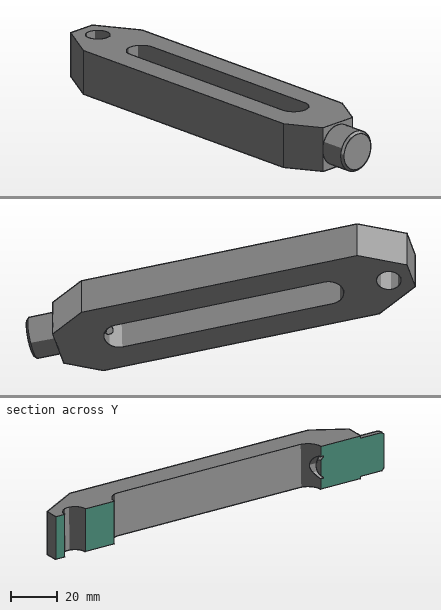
import cadquery as cq
import math

overall_length = 168.0
peg_length = 12.0
body_length = overall_length - peg_length
body_width = 35.0
body_height = 20.0

taper_angle = math.radians(30)
nose_taper_length = 19.0
heel_taper_length = 15.1
nose_half_width = body_width / 2 - nose_taper_length * math.tan(taper_angle)
heel_half_width = body_width / 2 - heel_taper_length * math.tan(taper_angle)

slot_start = 30.0
slot_end = 135.5
slot_width = 13.0
nose_hole_diameter = 10.5
nose_hole_x = 9.9

peg_diameter = 18.0
peg_chamfer = 1.0
shank_diameter = 10.0
shank_chamfer = 1.5
shank_end = slot_end


def make_body():
    """Flat bar with tapered ends."""
    upper_edge = [
        (0, nose_half_width),
        (nose_taper_length, body_width / 2),
        (body_length - heel_taper_length, body_width / 2),
        (body_length, heel_half_width),
    ]
    lower_edge = [(x, -y) for x, y in reversed(upper_edge)]
    return cq.Workplane("XY").polyline(upper_edge + lower_edge).close().extrude(body_height)


def x_cylinder(diameter, start, end):
    """Cylinder along X at mid-height of the body."""
    return (
        cq.Workplane("YZ", origin=(start, 0, body_height / 2))
        .circle(diameter / 2)
        .extrude(end - start)
    )


def make_slot():
    """Round-ended slot cutter through the full thickness."""
    return (
        cq.Workplane("XY")
        .center((slot_start + slot_end) / 2, 0)
        .slot2D(slot_end - slot_start, slot_width)
        .extrude(body_height)
    )


def make_nose_hole():
    """Round hole cutter through the nose."""
    return (
        cq.Workplane("XY")
        .center(nose_hole_x, 0)
        .circle(nose_hole_diameter / 2)
        .extrude(body_height)
    )


peg = x_cylinder(peg_diameter, body_length, overall_length).faces(">X").chamfer(peg_chamfer)
shank = x_cylinder(shank_diameter, shank_end, body_length).faces("<X").chamfer(shank_chamfer)
bore = x_cylinder(shank_diameter, slot_end - slot_width / 2, body_length)

strap = make_body().cut(make_slot()).cut(make_nose_hole()).cut(bore)
result = strap.union(shank).union(peg)